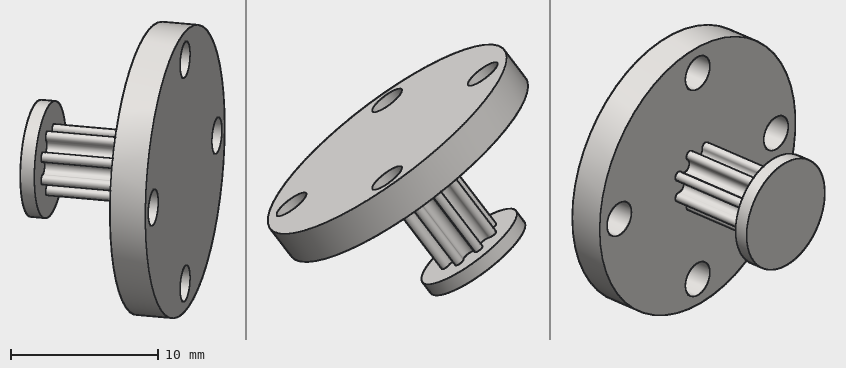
import cadquery as cq
import math

flange_diameter = 20
flange_thickness = 2.5
cap_diameter = 8
cap_thickness = 1
total_length = 10.5
shaft_length = total_length - flange_thickness - cap_thickness

hole_count = 4
hole_diameter = 2.5
hole_circle_diameter = 16

tooth_count = 8
tip_radius = 2.45
root_radius = 1.4
tooth_rounding = 0.35
tooth_pitch = 360 / tooth_count

tooth_center_radius = tip_radius - tooth_rounding
half_pitch = math.radians(tooth_pitch / 2)
center_offset = root_radius - tooth_rounding
groove_center_radius = (tooth_center_radius**2 - center_offset**2) / (
    2 * (tooth_center_radius * math.cos(half_pitch) - center_offset)
)
groove_rounding = groove_center_radius - root_radius


def polar(radius, angle):
    """Point at a radius and an angle in degrees."""
    return (radius * math.cos(math.radians(angle)), radius * math.sin(math.radians(angle)))


def tangent_point(tooth_angle, groove_angle):
    """Point where a tooth arc runs into a groove arc."""
    tooth = polar(tooth_center_radius, tooth_angle)
    groove = polar(groove_center_radius, groove_angle)
    share = tooth_rounding / (tooth_rounding + groove_rounding)
    return tuple(t + share * (g - t) for t, g in zip(tooth, groove))


def make_disc(start, diameter, thickness):
    return cq.Workplane("YZ").workplane(offset=start).circle(diameter / 2).extrude(thickness)


def make_flange():
    flange = make_disc(cap_thickness + shaft_length, flange_diameter, flange_thickness)
    return (
        flange.faces(">X")
        .workplane()
        .polarArray(hole_circle_diameter / 2, 0, 360, hole_count)
        .hole(hole_diameter)
    )


def make_toothed_shaft():
    half = tooth_pitch / 2
    profile = cq.Workplane("YZ").workplane(offset=cap_thickness)
    profile = profile.moveTo(*tangent_point(half, 0))
    for index in range(tooth_count):
        tooth = half + index * tooth_pitch
        next_groove = tooth + half
        next_tooth = tooth + tooth_pitch
        profile = profile.threePointArc(polar(tip_radius, tooth), tangent_point(tooth, next_groove))
        profile = profile.threePointArc(
            polar(root_radius, next_groove), tangent_point(next_tooth, next_groove)
        )
    return profile.close().extrude(shaft_length)


cap = make_disc(0, cap_diameter, cap_thickness)
result = cap.union(make_toothed_shaft()).union(make_flange())